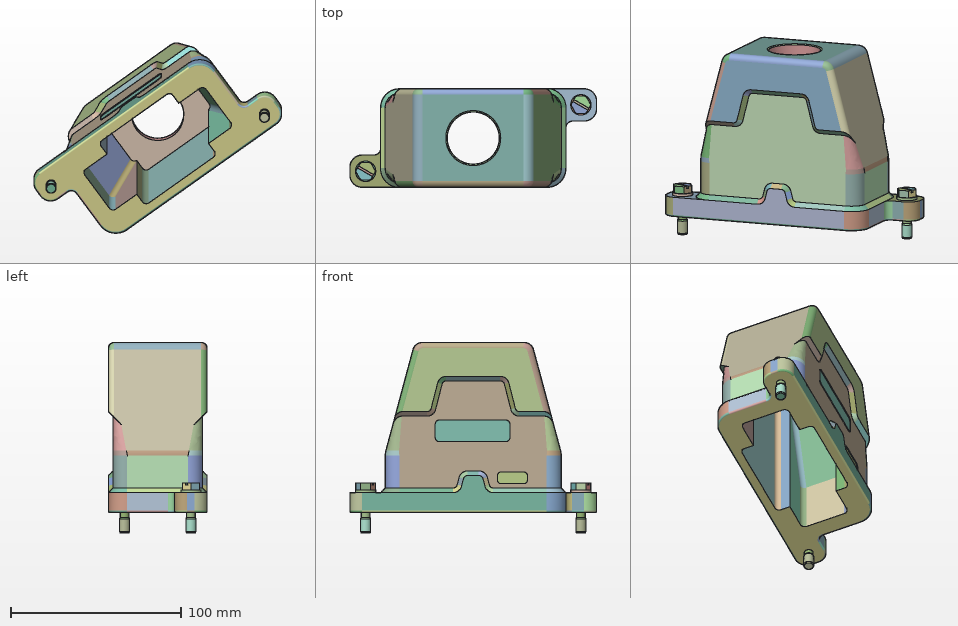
import math

import cadquery as cq

TOTAL_HEIGHT = 111.9
HOOD_HEIGHT = 100.0
FLANGE_HEIGHT = 11.7
MARGIN = 0.5

HALF_DEPTH = 29.0
STEP_ANGLE = 45
STEP = 2.7
WALL_HALF_DEPTH = HALF_DEPTH - STEP
WALL_HALF_LENGTH = 51.75
WALL_CORNER_RADIUS = 8.5
SLOPE_ANGLE = math.radians(15)
SLOPE = math.tan(SLOPE_ANGLE)
SLOPE_START = 34.8
SLOPE_BLEND_RADIUS = 11.0
BLEND_LENGTH = SLOPE_BLEND_RADIUS * math.tan(SLOPE_ANGLE / 2)
TOP_HALF_LENGTH = WALL_HALF_LENGTH - (HOOD_HEIGHT - SLOPE_START) * SLOPE
TOP_END_RADIUS = 6.0
COVER_EDGE_RADIUS = 3.6

COVER_EDGE_Z = 59.3
WINDOW_TOP_Z = 80.0
WINDOW_HALF_TOP = 19.9
WINDOW_HALF_FOOT = 25.2
CONVEX_RADIUS = 5.2
CONCAVE_RADIUS = CONVEX_RADIUS - STEP

LOWER_WALL_TOP = 70.0
UPPER_CORNER_RADIUS = 1.5
SPANDREL_WIDTH = 3.0

FLANGE_HALF_LENGTH = WALL_HALF_LENGTH + STEP
FLANGE_CORNER_RADIUS = WALL_CORNER_RADIUS + STEP
FLANGE_BOTTOM_RADIUS = 1.0
EAR_END = 72.5
EAR_WIDTH = 19.1
EAR_RADIUS = 7.4
EAR_ROOT_RADIUS = 3.8

TAB_RISE = 10.05
TAB_TOP_Z = FLANGE_HEIGHT + STEP + TAB_RISE
TAB_HALF_TOP = 7.35
TAB_HALF_FOOT = 9.95
TAB_STRIP_HALF_LENGTH = 25.0

LABELS = [
    (-0.4, 48.0, 43.9, 12.7, 2.5),
    (23.0, 20.4, 17.7, 6.9, 2.3),
]
LABEL_DEPTH = 0.5

ENTRY_DIAMETER = 30.54
ENTRY_RIM_DIAMETER = 32.3
ENTRY_RIM_DEPTH = 0.5
ROOF_THICKNESS = 7.2
CAVITY_HALF_LENGTH = 26.0
CAVITY_HALF_DEPTH = 23.3
CAVITY_CORNER_RADIUS = 2.75
END_POCKET_HALF_DEPTH = 14.9
END_WALL = 7.8

SCREW_X = 63.2
SCREW_Y = 19.5
WASHER_DIAMETER = 12.0
WASHER_THICKNESS = 1.6
HEX_ACROSS_FLATS = 10.2
HEX_HEIGHT = 4.2
HEX_TOP_DIAMETER = 11.2
SLOT_WIDTH = 1.3
SLOT_DEPTH = 1.4
SLOT_ANGLE = -30
THREAD_DIAMETER = 6.0
NECK_DIAMETER = 5.3
NECK_LENGTH = 2.8
NECK_CONE_LENGTH = 0.9
TIP_LENGTH = 0.9
SCREW_END_Z = HOOD_HEIGHT - TOTAL_HEIGHT


def end_x(z, inset=0.0):
    """Half length of the leaning end walls at height z."""
    return WALL_HALF_LENGTH - inset - (z - SLOPE_START) * SLOPE


def extrude_along_y(outline, half_depth):
    return outline.extrude(half_depth, both=True)


def house_profile(top_z, inset=0.0):
    """Upright sides below, leaning sides above, in the XZ plane."""
    low = WALL_HALF_LENGTH - inset
    high = end_x(top_z, inset)
    return cq.Workplane("XZ").polyline(
        [(-low, 0), (low, 0), (low, SLOPE_START), (high, top_z), (-high, top_z), (-low, SLOPE_START)]
    ).close()


def step_profile(bottom_z, foot_z, top_z, outer_half, foot_half, top_half):
    """Low strip with a raised trapezoid in its middle, sharp cornered."""
    right = [(outer_half, bottom_z), (outer_half, foot_z), (foot_half, foot_z), (top_half, top_z)]
    left = [(-x, z) for x, z in reversed(right)]
    return right + left


def rounded_step(points, foot_radius, top_radius):
    """Face of a step profile with its foot and top corners rounded; local y is height."""
    sketch = cq.Sketch().polygon(points + [points[0]])
    foot_z, top_z = points[2][1], points[3][1]
    for height, radius in ((foot_z, foot_radius), (top_z, top_radius)):
        corners = [p for p in points[2:6] if p[1] == height]
        sketch = sketch.reset().vertices(
            cq.selectors.BoxSelector(
                (corners[0][0] + MARGIN, height - MARGIN, -MARGIN),
                (corners[1][0] - MARGIN, height + MARGIN, MARGIN),
            )
        ).fillet(radius)
    return sketch.reset()


def on_both_sides(solid):
    return solid.union(solid.mirror("XZ"))


def corner_spandrel(workplane, x_face, radius):
    """Outline of the material outside a rounded corner at (+x, +y)."""
    x_arc = x_face - radius
    y_arc = WALL_HALF_DEPTH - radius
    diagonal = radius / math.sqrt(2)
    return (
        workplane.moveTo(x_arc, WALL_HALF_DEPTH)
        .threePointArc((x_arc + diagonal, y_arc + diagonal), (x_face, y_arc))
        .lineTo(x_face + SPANDREL_WIDTH, y_arc)
        .lineTo(x_face + SPANDREL_WIDTH, WALL_HALF_DEPTH + SPANDREL_WIDTH)
        .lineTo(x_arc, WALL_HALF_DEPTH + SPANDREL_WIDTH)
        .close()
    )


def spandrel_at(z, x_face, radius):
    return corner_spandrel(cq.Workplane("XY", origin=(0, 0, z)), x_face, radius).wires().val()


def lower_wall_corner_cutter():
    """Rounds the (+x, +y) wall corner: upright, then through the slope blend, then leaning."""
    blend_start = SLOPE_START - BLEND_LENGTH
    blend_end = SLOPE_START + BLEND_LENGTH * math.cos(SLOPE_ANGLE)
    radius_rate = (UPPER_CORNER_RADIUS - WALL_CORNER_RADIUS) / (LOWER_WALL_TOP - blend_start)

    def corner_radius(z):
        return WALL_CORNER_RADIUS + radius_rate * (z - blend_start)

    bottom = spandrel_at(0, WALL_HALF_LENGTH, WALL_CORNER_RADIUS)
    start = spandrel_at(blend_start, WALL_HALF_LENGTH, WALL_CORNER_RADIUS)
    end = spandrel_at(blend_end, end_x(blend_end), corner_radius(blend_end))
    top = spandrel_at(LOWER_WALL_TOP, end_x(LOWER_WALL_TOP), UPPER_CORNER_RADIUS)

    upright = cq.Workplane(cq.Solid.makeLoft([bottom, start], True))
    blend = cq.Workplane(cq.Solid.makeLoft([start, end], True))
    leaning = cq.Workplane(cq.Solid.makeLoft([end, top], True))
    return upright.union(blend).union(leaning)


def make_lower_wall():
    """Set-back wall below the cover, with the flat face that shows in the cover's window."""
    wall = extrude_along_y(house_profile(LOWER_WALL_TOP), WALL_HALF_DEPTH)
    slope_breaks = cq.selectors.BoxSelector(
        (-2 * WALL_HALF_LENGTH, -MARGIN, SLOPE_START - MARGIN),
        (2 * WALL_HALF_LENGTH, MARGIN, SLOPE_START + MARGIN),
    )
    wall = wall.edges(slope_breaks).fillet(SLOPE_BLEND_RADIUS)
    cutter = lower_wall_corner_cutter()
    for corner in (cutter, cutter.mirror("YZ")):
        wall = wall.cut(corner).cut(corner.mirror("XZ"))
    window_backing = cq.Workplane("XY").box(
        2 * WINDOW_HALF_FOOT, 2 * WALL_HALF_DEPTH, WINDOW_TOP_Z - COVER_EDGE_Z, centered=(True, True, False)
    ).translate((0, 0, COVER_EDGE_Z))
    return wall.union(window_backing)


def make_cover():
    """Full-depth upper part of the hood, ending below in a bevelled, stepped edge."""
    bottom_z = SLOPE_START + SLOPE_BLEND_RADIUS * SLOPE
    bottom = end_x(bottom_z)
    cover = extrude_along_y(
        cq.Workplane("XZ").polyline(
            [
                (-bottom, bottom_z),
                (bottom, bottom_z),
                (TOP_HALF_LENGTH, HOOD_HEIGHT),
                (-TOP_HALF_LENGTH, HOOD_HEIGHT),
            ]
        ).close(),
        HALF_DEPTH,
    )
    cover = cover.edges("|Y and >Z").fillet(TOP_END_RADIUS)
    cover = cover.faces("<Y or >Y").edges("not <Z").fillet(COVER_EDGE_RADIUS)

    undercut_depth = COVER_EDGE_Z - bottom_z + MARGIN
    undercut = (
        cq.Workplane("YZ")
        .polyline(
            [
                (-HALF_DEPTH, COVER_EDGE_Z),
                (-HALF_DEPTH + undercut_depth, COVER_EDGE_Z - undercut_depth),
                (-HALF_DEPTH, COVER_EDGE_Z - undercut_depth),
            ]
        )
        .close()
        .extrude(2 * WALL_HALF_LENGTH, both=True)
    )
    cover = cover.cut(on_both_sides(undercut))

    window_points = step_profile(
        bottom_z - 2 * STEP,
        COVER_EDGE_Z,
        WINDOW_TOP_Z,
        2 * WALL_HALF_LENGTH,
        WINDOW_HALF_FOOT,
        WINDOW_HALF_TOP,
    )
    window = (
        cq.Workplane("XZ", origin=(0, HALF_DEPTH, 0))
        .placeSketch(rounded_step(window_points, CONCAVE_RADIUS, CONVEX_RADIUS))
        .extrude(STEP, taper=STEP_ANGLE)
    )
    return cover.cut(on_both_sides(window))


def make_ear():
    """Ear at the (-x, -y) corner."""
    ear_length = EAR_END - WALL_HALF_LENGTH + FLANGE_CORNER_RADIUS
    ear = (
        cq.Workplane("XY")
        .box(ear_length, EAR_WIDTH, FLANGE_HEIGHT, centered=False)
        .translate((-EAR_END, -HALF_DEPTH, 0))
    )
    return ear.edges("|Z and <X").fillet(EAR_RADIUS)


def make_flange():
    plate = (
        cq.Workplane("XY")
        .rect(2 * FLANGE_HALF_LENGTH, 2 * HALF_DEPTH)
        .extrude(FLANGE_HEIGHT)
        .edges("|Z")
        .fillet(FLANGE_CORNER_RADIUS)
    )
    ear = make_ear()
    flange = plate.union(ear).union(ear.rotate((0, 0, 0), (0, 0, 1), 180))
    root_y = HALF_DEPTH - EAR_WIDTH
    for side in (-1, 1):
        root = cq.selectors.NearestToPointSelector(
            (side * FLANGE_HALF_LENGTH, side * root_y, FLANGE_HEIGHT / 2)
        )
        flange = flange.edges("|Z").edges(root).fillet(EAR_ROOT_RADIUS)
    flange = flange.faces("<Z").edges().fillet(FLANGE_BOTTOM_RADIUS)

    rim = (
        cq.Workplane("XY", origin=(0, 0, FLANGE_HEIGHT))
        .sketch()
        .rect(2 * FLANGE_HALF_LENGTH, 2 * HALF_DEPTH)
        .vertices()
        .fillet(FLANGE_CORNER_RADIUS)
        .finalize()
        .extrude(STEP, taper=STEP_ANGLE)
    )
    return flange.union(rim)


def make_tabs():
    rim_top = FLANGE_HEIGHT + STEP
    points = step_profile(
        FLANGE_HEIGHT - 2 * STEP, rim_top, TAB_TOP_Z, TAB_STRIP_HALF_LENGTH, TAB_HALF_FOOT, TAB_HALF_TOP
    )
    tab = (
        cq.Workplane("XZ", origin=(0, -WALL_HALF_DEPTH, 0))
        .placeSketch(rounded_step(points, CONCAVE_RADIUS, CONVEX_RADIUS))
        .extrude(STEP, taper=STEP_ANGLE)
    )
    return on_both_sides(tab)


def label_pocket(x, z, length, height, radius):
    return (
        cq.Workplane("XY")
        .box(length, 2 * LABEL_DEPTH, height)
        .edges("|Y")
        .fillet(radius)
        .translate((x, -WALL_HALF_DEPTH, z))
    )


def make_cavity():
    roof_z = HOOD_HEIGHT - ROOF_THICKNESS
    core = (
        cq.Workplane("XY")
        .rect(2 * CAVITY_HALF_LENGTH, 2 * CAVITY_HALF_DEPTH)
        .extrude(roof_z)
        .edges("|Z")
        .fillet(CAVITY_CORNER_RADIUS)
    )
    end_pockets = extrude_along_y(house_profile(roof_z, END_WALL), END_POCKET_HALF_DEPTH)
    end_pockets = end_pockets.faces("<Y or >Y").edges("not #Z").fillet(CAVITY_CORNER_RADIUS)
    entry = cq.Workplane("XY").circle(ENTRY_DIAMETER / 2).extrude(HOOD_HEIGHT)
    rim = (
        cq.Workplane("XY", origin=(0, 0, HOOD_HEIGHT - ENTRY_RIM_DEPTH))
        .circle(ENTRY_DIAMETER / 2)
        .workplane(offset=ENTRY_RIM_DEPTH)
        .circle(ENTRY_RIM_DIAMETER / 2)
        .loft()
    )
    return core.union(end_pockets).union(entry).union(rim)


def make_screw():
    washer_top = FLANGE_HEIGHT + WASHER_THICKNESS
    head_top = washer_top + HEX_HEIGHT
    neck_radius = NECK_DIAMETER / 2
    thread_radius = THREAD_DIAMETER / 2
    cone_end = -NECK_LENGTH - NECK_CONE_LENGTH
    body = (
        cq.Workplane("XZ")
        .polyline(
            [
                (0, SCREW_END_Z),
                (neck_radius, SCREW_END_Z),
                (thread_radius, SCREW_END_Z + TIP_LENGTH),
                (thread_radius, cone_end),
                (neck_radius, -NECK_LENGTH),
                (neck_radius, FLANGE_HEIGHT),
                (WASHER_DIAMETER / 2, FLANGE_HEIGHT),
                (WASHER_DIAMETER / 2, washer_top),
                (0, washer_top),
            ]
        )
        .close()
        .revolve(360, (0, 0), (0, 1))
    )
    head = (
        cq.Workplane("XY", origin=(0, 0, washer_top))
        .polygon(6, HEX_ACROSS_FLATS / math.cos(math.pi / 6))
        .extrude(HEX_HEIGHT)
    )
    bevel_cone = (
        cq.Workplane("XY", origin=(0, 0, washer_top))
        .circle(HEX_TOP_DIAMETER / 2 + HEX_HEIGHT)
        .workplane(offset=HEX_HEIGHT)
        .circle(HEX_TOP_DIAMETER / 2)
        .loft()
    )
    slot = (
        cq.Workplane("XY", origin=(0, 0, head_top))
        .box(2 * WASHER_DIAMETER, SLOT_WIDTH, 2 * SLOT_DEPTH)
        .rotate((0, 0, 0), (0, 0, 1), SLOT_ANGLE)
    )
    return body.union(head.intersect(bevel_cone).cut(slot))


def make_hood():
    hood = make_lower_wall().union(make_cover()).union(make_flange()).union(make_tabs())
    for label in LABELS:
        hood = hood.cut(label_pocket(*label))
    return hood.cut(make_cavity())


result = make_hood()
screw = make_screw()
for direction in (-1, 1):
    result = result.union(screw.translate((direction * SCREW_X, direction * SCREW_Y, 0)))